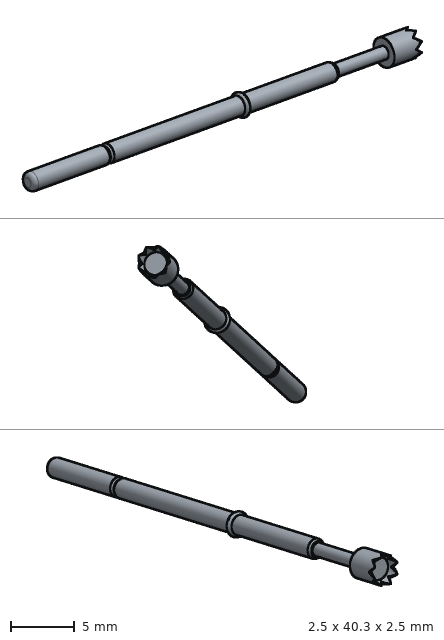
import cadquery as cq
import math

total_length = 40.3
tail_y = -total_length / 2
tip_y = total_length / 2

head_radius = 1.25
head_length = 2.95
tooth_count = 8
tooth_depth = 0.65
cup_depth = 0.9
cup_floor_radius = 0.93

stem_radius = 0.55
stem_length = 5.3

barrel_diameter = 1.65
barrel_radius = barrel_diameter / 2
mouth_radius = 0.7
mouth_length = 0.3
ring_radius = 1.05
ring_width = 0.5
ring_center_y = 2.18
groove_depth = 0.15
groove_width = 0.5
groove_center_y = -12.0
tail_flat_radius = 0.4
tail_rounding = barrel_radius - tail_flat_radius

stem_top_y = tip_y - head_length
barrel_top_y = stem_top_y - stem_length


def along_y(radius, start_y, end_y):
    """Solid cylinder on the Y axis between two Y positions."""
    return cq.Workplane("XZ", origin=(0, end_y, 0)).circle(radius).extrude(end_y - start_y)


def make_barrel():
    """Turned tube: rounded tail, crimp groove, round press ring and tapered mouth."""
    ring_start_y = ring_center_y - ring_width / 2
    ring_end_y = ring_center_y + ring_width / 2
    groove_start_y = groove_center_y - groove_width / 2
    groove_end_y = groove_center_y + groove_width / 2
    diagonal = tail_rounding * math.sqrt(0.5)
    profile = (
        cq.Workplane("XY")
        .moveTo(0, tail_y)
        .lineTo(tail_flat_radius, tail_y)
        .threePointArc(
            (tail_flat_radius + diagonal, tail_y + tail_rounding - diagonal),
            (barrel_radius, tail_y + tail_rounding),
        )
        .lineTo(barrel_radius, groove_start_y)
        .lineTo(barrel_radius - groove_depth, groove_center_y)
        .lineTo(barrel_radius, groove_end_y)
        .lineTo(barrel_radius, ring_start_y)
        .threePointArc((ring_radius, ring_center_y), (barrel_radius, ring_end_y))
        .lineTo(barrel_radius, barrel_top_y - mouth_length)
        .lineTo(mouth_radius, barrel_top_y)
        .lineTo(0, barrel_top_y)
        .close()
    )
    return profile.revolve(360, (0, 0, 0), (0, 1, 0))


def make_cup():
    """Hollow inside the crown: it flares from a flat floor below the tooth roots to the rim."""
    floor_y = tip_y - cup_depth
    profile = (
        cq.Workplane("XY")
        .polyline([(0, floor_y), (cup_floor_radius, floor_y), (head_radius, tip_y), (0, tip_y)])
        .close()
    )
    return profile.revolve(360, (0, 0, 0), (0, 1, 0))


def make_head():
    """Cylindrical head with a cup and V grooves across it that leave a ring of pointed teeth."""
    head = along_y(head_radius, stem_top_y, tip_y).cut(make_cup())
    tooth_pitch = 360 / tooth_count
    half_width = head_radius * math.sin(math.radians(tooth_pitch / 2))
    groove = (
        cq.Workplane("XY")
        .polyline([(-half_width, tip_y), (half_width, tip_y), (0, tip_y - tooth_depth)])
        .close()
        .extrude(head_radius, both=True)
    )
    for index in range(tooth_count // 2):
        head = head.cut(groove.rotate((0, 0, 0), (0, 1, 0), index * tooth_pitch))
    return head


stem = along_y(stem_radius, barrel_top_y, stem_top_y)
result = make_barrel().union(stem).union(make_head())